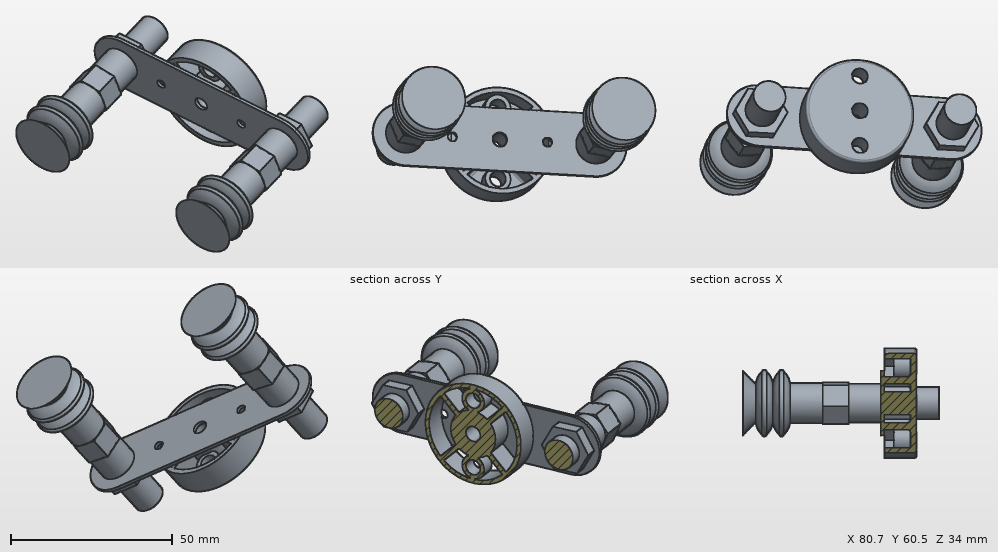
import cadquery as cq
import math


plate_thickness = 1.1
plate_end_radius = 10.0
cup_pitch = 60.1
plate_center_hole_diameter = 4.5
plate_screw_hole_diameter = 2.9
plate_screw_pitch = 30.0

nipple_diameter = 10.1
nipple_length = 16.95
nut_across_corners = 16.5
nut_thickness = 3.8
nut_turn = 1.0
upper_tube_diameter = 12.0
upper_tube_length = 9.85
hex_across_corners = 14.0
hex_length = 8.1
hex_turn = 7.5
lower_tube_diameter = 12.5
lower_tube_length = 10.0

pleat_count = 2
pleat_height = 5.3
pleat_tip_radius = 10.3
pleat_edge_radius = 9.8
pleat_edge_half_height = 0.7
pleat_root_radius = 6.3
flank_mid_radius = 8.15
flank_mid_half_height = 2.0
lip_height = 3.95
lip_root_radius = 6.0
lip_radius = 10.0

base_diameter = 34.0
base_thickness = 10.0
base_offset_x = 0.25
base_back_fillet = 0.8
pocket_radius = 15.4
hub_radius = 8.0
pocket_depth = 8.1
spoke_width = 1.6
spoke_fillet = 0.8
boss_recess = 3.0
boss_diameter = 8.0
base_hole_diameter = 4.9
base_hole_distance = 11.5


def cylinder(diameter, y_start, y_end, x=0, z=0):
    """Cylinder along Y between two Y positions."""
    plane = cq.Workplane("XZ", origin=(x, y_start, z))
    return plane.circle(diameter / 2).extrude(y_start - y_end)


def hexagon(across_corners, y_start, y_end, turn):
    """Hexagonal prism along Y, turned about its own axis in degrees."""
    prism = cq.Workplane("XZ", origin=(0, y_start, 0)).polygon(6, across_corners).extrude(y_start - y_end)
    return prism.rotate((0, 0, 0), (0, 1, 0), turn)


def make_plate():
    plate = cq.Workplane("XZ").slot2D(cup_pitch + 2 * plate_end_radius, 2 * plate_end_radius)
    plate = plate.extrude(plate_thickness)
    plate = plate.cut(cylinder(plate_center_hole_diameter, 0, -plate_thickness))
    for side in (-1, 1):
        x = side * plate_screw_pitch / 2
        plate = plate.cut(cylinder(plate_screw_hole_diameter, 0, -plate_thickness, x))
    return plate


def make_bellows(y_back):
    """Pleats and flared lip, revolved about the Y axis."""
    profile = cq.Workplane("XY").moveTo(0, y_back).lineTo(pleat_root_radius, y_back)
    for pleat in range(pleat_count):
        y_mid = y_back - (pleat + 0.5) * pleat_height
        profile = (
            profile
            .threePointArc((flank_mid_radius, y_mid + flank_mid_half_height),
                           (pleat_edge_radius, y_mid + pleat_edge_half_height))
            .threePointArc((pleat_tip_radius, y_mid),
                           (pleat_edge_radius, y_mid - pleat_edge_half_height))
            .threePointArc((flank_mid_radius, y_mid - flank_mid_half_height),
                           (pleat_root_radius, y_mid - pleat_height / 2))
        )
    y_lip = y_back - pleat_count * pleat_height
    y_front = y_lip - lip_height
    profile = profile.lineTo(lip_root_radius, y_lip).lineTo(lip_radius, y_front).lineTo(0, y_front).close()
    return profile.revolve(360, (0, 0, 0), (0, 1, 0))


def make_cup_stem():
    """Nipple, nut, tubes, hexagon and bellows on one axis."""
    y_tube = -plate_thickness
    y_hex = y_tube - upper_tube_length
    y_lower = y_hex - hex_length
    y_bellows = y_lower - lower_tube_length
    stem = cylinder(nipple_diameter, nipple_length, y_tube)
    stem = stem.union(hexagon(nut_across_corners, nut_thickness, 0, nut_turn))
    stem = stem.union(cylinder(upper_tube_diameter, y_tube, y_hex))
    stem = stem.union(hexagon(hex_across_corners, y_hex, y_lower, hex_turn))
    stem = stem.union(cylinder(lower_tube_diameter, y_lower, y_bellows))
    return stem.union(make_bellows(y_bellows))


def pocket_corner(radius):
    """Corner (x, z) where a circle about the base axis meets the spoke face."""
    angle = math.pi / 4 + math.asin(spoke_width / 2 / radius)
    return radius * math.cos(angle), radius * math.sin(angle)


def make_pocket():
    """Quarter pocket on the +Z side, between the hub, the rim and two diagonal spokes."""
    inner_x, inner_z = pocket_corner(hub_radius)
    outer_x, outer_z = pocket_corner(pocket_radius)
    pocket = (
        cq.Workplane("XZ")
        .moveTo(inner_x, inner_z)
        .lineTo(outer_x, outer_z)
        .threePointArc((0, pocket_radius), (-outer_x, outer_z))
        .lineTo(-inner_x, inner_z)
        .threePointArc((0, hub_radius), (inner_x, inner_z))
        .close()
        .extrude(-pocket_depth)
    )
    return pocket.faces(">Y").edges("%LINE").fillet(spoke_fillet)


def make_base():
    base = cylinder(base_diameter, 0, base_thickness)
    base = base.faces(">Y").edges().fillet(base_back_fillet)
    pocket = make_pocket()
    for quarter in range(4):
        base = base.cut(pocket.rotate((0, 0, 0), (0, 1, 0), 90 * quarter))
    for side in (-1, 1):
        z = side * base_hole_distance
        base = base.union(cylinder(boss_diameter, boss_recess, pocket_depth, 0, z))
        base = base.cut(cylinder(base_hole_diameter, 0, base_thickness, 0, z))
    base = base.cut(cylinder(base_hole_diameter, 0, base_thickness))
    return base.translate((base_offset_x, 0, 0))


result = make_plate().union(make_base())
cup_stem = make_cup_stem()
for side in (-1, 1):
    result = result.union(cup_stem.translate((side * cup_pitch / 2, 0, 0)))